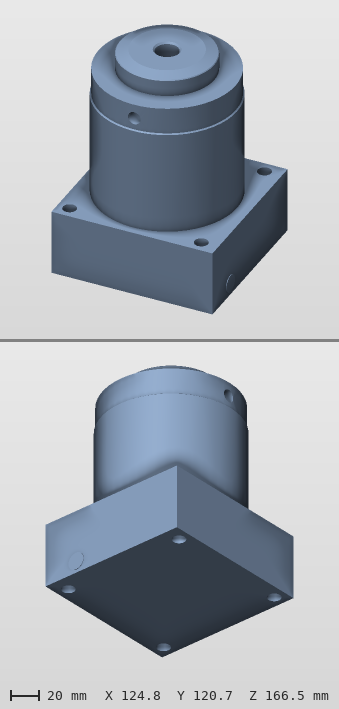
import cadquery as cq
import math

INCH = 25.4

base_width = 4.75 * INCH
total_length = 124.84
pad_thickness = 0.5
base_length = total_length - pad_thickness
base_height = 50.4
base_left = -base_width / 2
base_right = base_left + base_length

mount_hole_pitch = 4.0 * INCH
mount_hole_diameter = 10.4

pad_diameter = 13.6
pad_center_y = -32.0
pad_center_z = 9.2

total_height = 166.52
body_radius = 4.25 * INCH / 2
body_top = 130.9
body_bevel_height = 0.8
collar_radius = 105.8 / 2
collar_top = 151.2
head_radius = 72.7 / 2
head_flat_radius = 54.0 / 2
head_cone_drop = 2.4
head_edge_chamfer = 0.6

bore_radius = 17.5 / 2
bore_depth = 25.0
bore_mouth_radius = 20.0 / 2
bore_mouth_depth = bore_mouth_radius - bore_radius

side_hole_radius = 9.8 / 2
side_hole_z = 140.1
side_hole_depth = 10.0
side_hole_tip_angle = 118
side_hole_tip_length = side_hole_radius / math.tan(math.radians(side_hole_tip_angle / 2))


def make_base():
    base = cq.Workplane("XY").box(base_length, base_width, base_height, centered=(False, True, False))
    base = base.translate((base_left, 0, 0))
    holes = (
        cq.Workplane("XY")
        .rect(mount_hole_pitch, mount_hole_pitch, forConstruction=True)
        .vertices()
        .circle(mount_hole_diameter / 2)
        .extrude(base_height)
    )
    return base.cut(holes)


def make_pad():
    return (
        cq.Workplane("YZ", origin=(base_right, pad_center_y, pad_center_z))
        .circle(pad_diameter / 2)
        .extrude(pad_thickness)
    )


def make_cylinder():
    """Body, collar and head, with the bore, as one revolved half section."""
    cone_bottom = total_height - head_cone_drop
    profile = [
        (0, 0),
        (body_radius, 0),
        (body_radius, body_top - body_bevel_height),
        (collar_radius, body_top),
        (collar_radius, collar_top),
        (head_radius, collar_top),
        (head_radius, cone_bottom - head_edge_chamfer),
        (head_radius - head_edge_chamfer, cone_bottom),
        (head_flat_radius, total_height),
        (bore_mouth_radius, total_height),
        (bore_radius, total_height - bore_mouth_depth),
        (bore_radius, total_height - bore_depth),
        (0, total_height - bore_depth),
    ]
    return cq.Workplane("XZ").polyline(profile).close().revolve(360, (0, 0), (0, 1))


def make_side_hole():
    """Drill with a conical tip, entering the collar from -Y."""
    tip_y = -collar_radius + side_hole_depth + side_hole_tip_length
    profile = [
        (0, -collar_radius),
        (side_hole_radius, -collar_radius),
        (side_hole_radius, -collar_radius + side_hole_depth),
        (0, tip_y),
    ]
    drill = cq.Workplane("XY").polyline(profile).close().revolve(360, (0, 0), (0, 1))
    return drill.translate((0, 0, side_hole_z))


result = make_base().union(make_pad()).union(make_cylinder())
for angle in (0, 180):
    result = result.cut(make_side_hole().rotate((0, 0, 0), (0, 0, 1), angle))